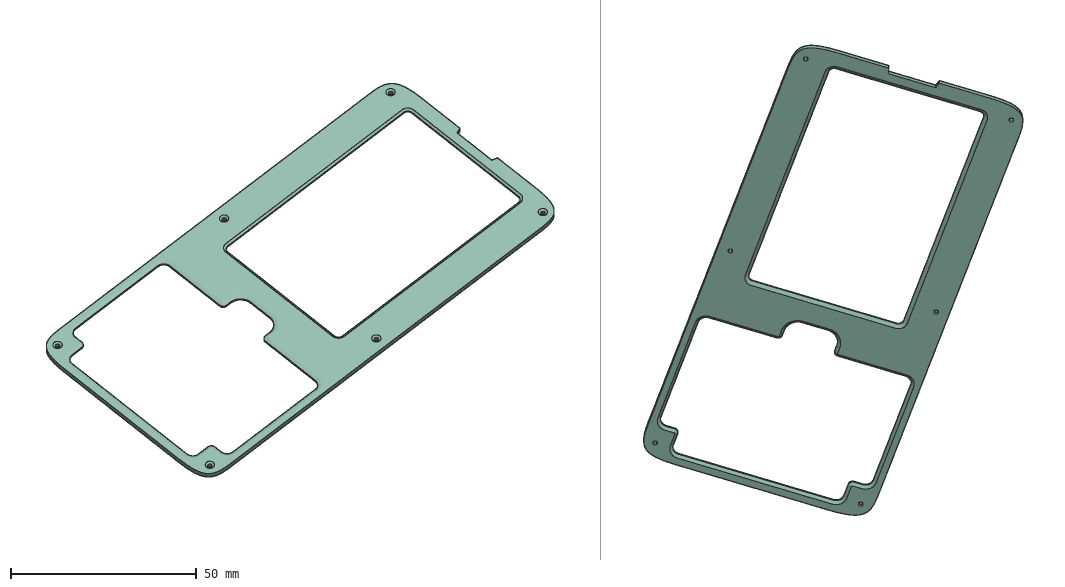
import cadquery as cq
width = 65.7
length = 134.7
thickness = 1.5
half_width = width / 2
half_length = length / 2

corner_run_x = 11.0
corner_run_y = 8.6
corner_handle_x = 9.5
corner_handle_y = 6.4

relief_mouth_half_width = 7.2
relief_floor_half_width = 6.7
relief_depth = 1.65

display_width = 44.0
display_length = 69.4
display_center_y = 27.5
display_corner_radius = 1.5
display_bevel_width = 0.7
display_bevel_depth = 0.4
display_land = 0.05

keypad_half_width = 30.2
keypad_top_y = -21.8
keypad_shoulder_y = -57.3
keypad_bottom_y = -64.4
keypad_foot_half_width = 24.25
keypad_corner_radius = 2.2
keypad_tip_radius = 1.25
keypad_bevel_width = 1.05
keypad_bevel_depth = 0.3
keypad_land = 0.35

bay_half_width = 7.45
bay_top_y = -15.1
bay_corner_radius = 3.8

underside_bevel_width = 0.7

selection_margin = 0.01

hole_diameter = 1.2
countersink_diameter = 2.5
countersink_angle = 120
hole_x = 29.25
hole_row_y = 62.8


def make_plate():
    """Plate whose four corners blend from side to end with a smooth curve."""
    side_y = half_length - corner_run_y
    side_handle_y = side_y + corner_handle_y
    end_x = half_width - corner_run_x
    end_handle_x = end_x + corner_handle_x

    def corner(sign_x, sign_y):
        side_to_end = [
            (half_width, side_y),
            (half_width, side_handle_y),
            (end_handle_x, half_length),
            (end_x, half_length),
        ]
        return [(sign_x * x, sign_y * y) for x, y in side_to_end]

    top_right = corner(1, 1)
    top_left = corner(-1, 1)[::-1]
    bottom_left = corner(-1, -1)
    bottom_right = corner(1, -1)[::-1]

    outline = cq.Workplane("XY").moveTo(*top_right[0]).bezier(top_right)
    for curve in (top_left, bottom_left, bottom_right):
        outline = outline.lineTo(*curve[0]).bezier(curve)
    return outline.close().extrude(thickness)


def make_edge_relief():
    """Shallow tapered cut in the +Y edge."""
    floor_y = half_length - relief_depth
    return (
        cq.Workplane("XY")
        .polyline([
            (-relief_mouth_half_width, half_length),
            (-relief_floor_half_width, floor_y),
            (relief_floor_half_width, floor_y),
            (relief_mouth_half_width, half_length),
        ])
        .close()
        .extrude(thickness)
    )


def make_display_window():
    return (
        cq.Workplane("XY")
        .center(0, display_center_y)
        .rect(display_width, display_length)
        .extrude(thickness)
        .edges("|Z")
        .fillet(display_corner_radius)
    )


def box_between(half_width_x, bottom_y, top_y):
    """Plate-thick block, symmetric about X = 0."""
    return (
        cq.Workplane("XY")
        .center(0, (bottom_y + top_y) / 2)
        .rect(2 * half_width_x, top_y - bottom_y)
        .extrude(thickness)
    )


def fillet_uprights(body, corners, radius):
    """Round the vertical edges at the given corners and at their mirror images in X."""
    for x, y in corners:
        for mirrored_x in (-x, x):
            nearest = cq.NearestToPointSelector((mirrored_x, y, thickness / 2))
            body = body.edges("|Z").edges(nearest).fillet(radius)
    return body


def make_keypad_window():
    """Window with an arched bay above and a narrower foot between the lower screw ears."""
    window = (
        box_between(keypad_half_width, keypad_shoulder_y, keypad_top_y)
        .union(box_between(keypad_foot_half_width, keypad_bottom_y, keypad_top_y))
        .union(box_between(bay_half_width, keypad_shoulder_y, bay_top_y))
    )
    outer_corners = [
        (keypad_half_width, keypad_top_y),
        (keypad_half_width, keypad_shoulder_y),
        (keypad_foot_half_width, keypad_bottom_y),
    ]
    tips = [
        (bay_half_width, keypad_top_y),
        (keypad_foot_half_width, keypad_shoulder_y),
    ]
    window = fillet_uprights(window, outer_corners, keypad_corner_radius)
    window = fillet_uprights(window, [(bay_half_width, bay_top_y)], bay_corner_radius)
    return fillet_uprights(window, tips, keypad_tip_radius)


def cut_bevelled_window(plate, window, bevel_width, bevel_depth, land):
    """Cut a window and bevel its rim above and below, leaving an upright land between the bevels."""
    window_box = window.val().BoundingBox()

    def rim_at(height):
        """Edges lying at one height within the extent of the window."""
        return cq.selectors.BoxSelector(
            (window_box.xmin - selection_margin, window_box.ymin - selection_margin, height - selection_margin),
            (window_box.xmax + selection_margin, window_box.ymax + selection_margin, height + selection_margin),
            boundingbox=True,
        )

    underside_depth = thickness - bevel_depth - land
    opened = plate.cut(window)
    opened = opened.edges(rim_at(thickness)).chamfer(bevel_width, bevel_depth)
    return opened.edges(rim_at(0)).chamfer(underside_bevel_width, underside_depth)


def cut_screw_holes(plate):
    """Three rows of two countersunk holes."""
    centers = [(x, y) for x in (-hole_x, hole_x) for y in (-hole_row_y, 0, hole_row_y)]
    return (
        plate.faces(">Z")
        .workplane(origin=(0, 0, thickness))
        .pushPoints(centers)
        .cskHole(hole_diameter, countersink_diameter, countersink_angle)
    )


plate = make_plate().cut(make_edge_relief())
plate = cut_bevelled_window(
    plate, make_display_window(), display_bevel_width, display_bevel_depth, display_land
)
plate = cut_bevelled_window(
    plate, make_keypad_window(), keypad_bevel_width, keypad_bevel_depth, keypad_land
)
result = cut_screw_holes(plate)